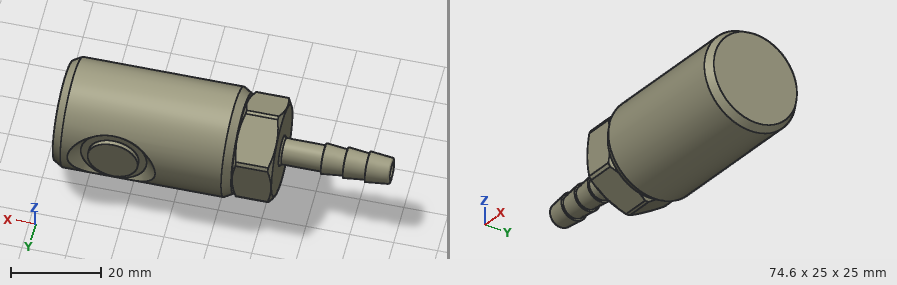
import math

import cadquery as cq


STEM_RADIUS = 3.0
BARB_RADIUS = 3.5
BARB_COUNT = 3
BARB_PITCH = 5.0
TIP_LENGTH = 0.4
TIP_ROUND = 0.5
STEM_LENGTH = 25.0
ROOT_FLARE = 0.5
BORE_RADIUS = 2.0

HEX_ACROSS_FLATS = 21.0
HEX_CORNER_DIAMETER = 23.7
HEX_FACE_DIAMETER = 20.8
HEX_LENGTH = 9.0

BODY_RADIUS = 12.5
BODY_CHAMFER_LENGTH = 2.0
OVERALL_LENGTH = 74.6

BUTTON_X = 61.0
RECESS_FLOOR_Y = 10.0
RECESS_FLOOR_RADIUS = 7.5
BUTTON_RADIUS = 5.7
BUTTON_TOP_Y = 11.1

CHAMFER_SLOPE = math.tan(math.radians(30))
HEX_END = STEM_LENGTH + HEX_LENGTH


def hose_barb():
    """Stem with conical barbs, flared where it meets the hexagon."""
    profile = (
        cq.Workplane("XY")
        .lineTo(0, STEM_RADIUS - TIP_ROUND)
        .radiusArc((TIP_ROUND, STEM_RADIUS), TIP_ROUND)
    )
    for index in range(BARB_COUNT):
        barb_end = TIP_LENGTH + (index + 1) * BARB_PITCH
        profile = profile.lineTo(barb_end, BARB_RADIUS).lineTo(barb_end, STEM_RADIUS)
    profile = (
        profile.lineTo(STEM_LENGTH - ROOT_FLARE, STEM_RADIUS)
        .lineTo(STEM_LENGTH, STEM_RADIUS + ROOT_FLARE)
        .lineTo(STEM_LENGTH, 0)
        .close()
    )
    return profile.revolve(360, (0, 0, 0), (1, 0, 0))


def chamfered_cylinder(start, end, radius, chamfer_length, face_radius):
    """Cylinder along X with the same conical chamfer at both ends."""
    return (
        cq.Workplane("XY")
        .moveTo(start, 0)
        .lineTo(start, face_radius)
        .lineTo(start + chamfer_length, radius)
        .lineTo(end - chamfer_length, radius)
        .lineTo(end, face_radius)
        .lineTo(end, 0)
        .close()
        .revolve(360, (0, 0, 0), (1, 0, 0))
    )


def hexagon():
    """Hexagon with flats facing +Y and -Y, its corners turned and chamfered."""
    across_corners = HEX_ACROSS_FLATS / math.cos(math.radians(30))
    prism = (
        cq.Workplane("YZ", origin=(STEM_LENGTH, 0, 0))
        .transformed(rotate=(0, 0, 90))
        .polygon(6, across_corners)
        .extrude(HEX_LENGTH)
    )
    corner_radius = HEX_CORNER_DIAMETER / 2
    face_radius = HEX_FACE_DIAMETER / 2
    chamfer_length = (corner_radius - face_radius) * CHAMFER_SLOPE
    envelope = chamfered_cylinder(STEM_LENGTH, HEX_END, corner_radius, chamfer_length, face_radius)
    return prism.intersect(envelope)


def body():
    """Large cylinder with a chamfer at each end."""
    face_radius = BODY_RADIUS - BODY_CHAMFER_LENGTH * CHAMFER_SLOPE
    return chamfered_cylinder(HEX_END, OVERALL_LENGTH, BODY_RADIUS, BODY_CHAMFER_LENGTH, face_radius)


def button_recess():
    """Conical recess around the button, as a solid to be cut away."""
    depth = BODY_RADIUS - RECESS_FLOOR_Y
    return (
        cq.Workplane("XY")
        .moveTo(BUTTON_X, RECESS_FLOOR_Y)
        .lineTo(BUTTON_X + RECESS_FLOOR_RADIUS, RECESS_FLOOR_Y)
        .lineTo(BUTTON_X + RECESS_FLOOR_RADIUS + depth, BODY_RADIUS)
        .lineTo(BUTTON_X, BODY_RADIUS)
        .close()
        .revolve(360, (BUTTON_X, 0, 0), (BUTTON_X, 1, 0))
    )


def button():
    """Flat round button standing on the recess floor."""
    return (
        cq.Workplane("XZ", origin=(BUTTON_X, BUTTON_TOP_Y, 0))
        .circle(BUTTON_RADIUS)
        .extrude(BUTTON_TOP_Y)
    )


def bore():
    """Blind bore from the tip to the face of the hexagon."""
    return cq.Workplane("YZ").circle(BORE_RADIUS).extrude(STEM_LENGTH)


housing = body().cut(button_recess()).union(button())
result = housing.union(hexagon()).union(hose_barb()).cut(bore())